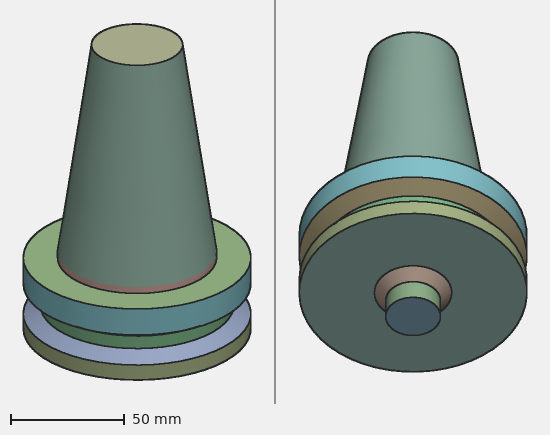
import cadquery as cq
import math

total_height = 154.3
collar_bottom = 9.5
flange_bottom = 14.5
lower_rim_top = 21.9
upper_rim_bottom = 36.7
flange_top = 49.5
taper_start = 52.6

spigot_diameter = 24.0
collar_diameter = 34.0
flange_diameter = 100.0
groove_diameter = 85.0
taper_large_diameter = 69.9
taper_small_diameter = 40.1

spigot_radius = spigot_diameter / 2
collar_radius = collar_diameter / 2
flange_radius = flange_diameter / 2
groove_radius = groove_diameter / 2
taper_large_radius = taper_large_diameter / 2
taper_small_radius = taper_small_diameter / 2

groove_flank_angle = math.radians(30)
groove_flank_height = (flange_radius - groove_radius) * math.tan(groove_flank_angle)
groove_floor_bottom = lower_rim_top + groove_flank_height
groove_floor_top = upper_rim_bottom - groove_flank_height

profile = (
    cq.Workplane("XZ")
    .lineTo(spigot_radius, 0)
    .lineTo(spigot_radius, collar_bottom)
    .lineTo(collar_radius, flange_bottom)
    .lineTo(flange_radius, flange_bottom)
    .lineTo(flange_radius, lower_rim_top)
    .lineTo(groove_radius, groove_floor_bottom)
    .lineTo(groove_radius, groove_floor_top)
    .lineTo(flange_radius, upper_rim_bottom)
    .lineTo(flange_radius, flange_top)
    .lineTo(taper_large_radius, flange_top)
    .lineTo(taper_large_radius, taper_start)
    .lineTo(taper_small_radius, total_height)
    .lineTo(0, total_height)
    .close()
)

result = profile.revolve(360, (0, 0, 0), (0, 1, 0))